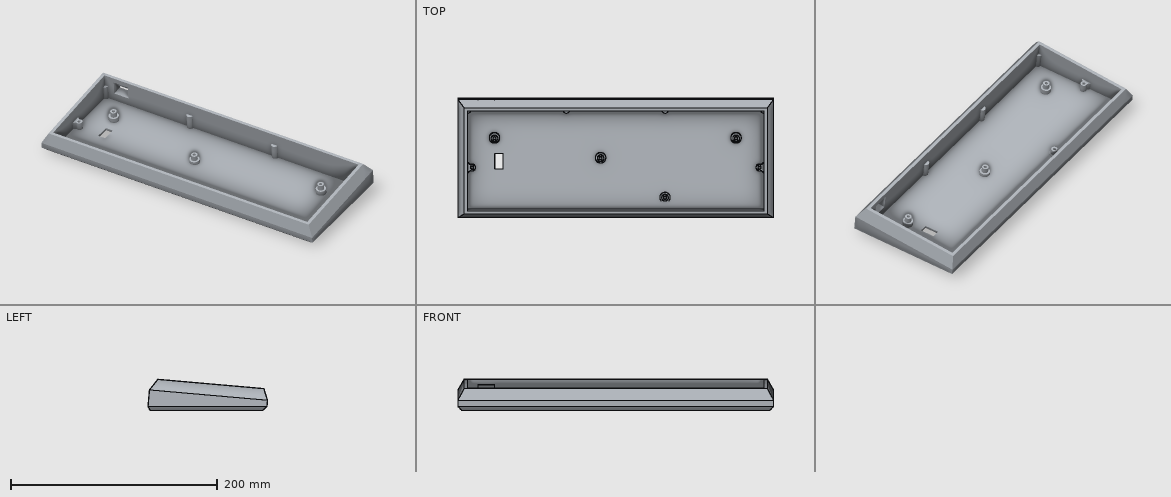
import cadquery as cq
import math

tilt = 5.0
overall_length = 306.5
overall_height = 30.3

rim_length = 294.0
rim_depth = 103.2
rim_center_y = -2.8
bevel_height = 11.0
bevel_front = 4.5
bevel_back = 7.5

chamfer_height = 4.0
chamfer_side = 3.7
chamfer_front = 4.3
chamfer_back = 2.0

wall_side = 3.5
wall_end = 3.0
floor_thickness = 2.5

standoff_positions = [(-117.5, 17.8), (-14.7, -1.5), (47.8, -39.8), (116.7, 17.8)]
collar_diameter = 10.0
pin_diameter = 6.5
pin_hole_diameter = 3.0
pin_hole_depth = 6.0
pin_top_drop = 14.5
collar_top_drop = 20.0

post_diameter = 6.5
post_top_drop = 12.5
post_spacing = 96.0

screw_post_x = 139.5
screw_post_y = -10.7
screw_post_diameter = 6.5
screw_post_top_drop = 14.5
web_width = 5.5
web_flare_width = 10.0
web_flare_length = 2.8

slot_x, slot_y = -113.5, -3.0
slot_width, slot_length = 7.7, 14.7
port_x = -125.5
port_width = 16.0
port_bottom_drop = 19.0
port_pocket_top_drop = 5.2
port_pocket_depth = 4.5
port_hole_top_drop = 11.3
port_overrun = 3.0

slope = math.radians(tilt)
half_rim = rim_depth / 2
rim_center_z = overall_height - half_rim * math.sin(slope)
body_front = -half_rim - bevel_front
body_back = half_rim + bevel_back
reach_down = 2 * overall_height
cavity_length = rim_length - 2 * wall_side
cavity_depth = rim_depth - 2 * wall_end
cavity_back = cavity_depth / 2


def place(shape):
    """Move a shape from the sloped frame into the part."""
    return shape.rotate((0, 0, 0), (1, 0, 0), tilt).translate((0, rim_center_y, rim_center_z))


def to_sloped(y):
    """Depth in the sloped frame of a point of the rim plane."""
    return (y - rim_center_y) / math.cos(slope)


def wall_y(depth, z):
    """Y of the wall at a given depth in the sloped frame, at height z."""
    return rim_center_y + depth / math.cos(slope) + (rim_center_z - z) * math.tan(slope)


def rectangle(length, front, back, z):
    """Rectangular outline centred in X, between two Y positions."""
    return cq.Workplane("XY", origin=(0, (front + back) / 2, z)).rect(length, back - front)


def above(z):
    """Large block that keeps everything above height z."""
    size = 2 * overall_length
    return cq.Workplane("XY", origin=(0, 0, z)).box(size, size, size, centered=(True, True, False))


def loft_between(lower, upper):
    """Straight-sided solid between two outlines."""
    wires = [lower.wire().val(), upper.wire().val()]
    return cq.Workplane(cq.Solid.makeLoft(wires, True))


def make_body():
    """Bevelled walls square to the rim, standing on a chamfered horizontal base."""
    bevel = loft_between(
        rectangle(overall_length, body_front, body_back, -bevel_height),
        rectangle(rim_length, -half_rim, half_rim, 0),
    )
    walls = rectangle(overall_length, body_front, body_back, -bevel_height).extrude(-reach_down)
    upper = place(walls.union(bevel)).intersect(above(chamfer_height))
    front = wall_y(body_front, chamfer_height)
    back = wall_y(body_back, chamfer_height)
    base = loft_between(
        rectangle(overall_length - 2 * chamfer_side, front + chamfer_front, back - chamfer_back, 0),
        rectangle(overall_length, front, back, chamfer_height),
    )
    return upper.union(base)


def make_cavity():
    """Space inside the walls, down to the horizontal floor."""
    cavity = rectangle(cavity_length, -cavity_back, cavity_back, 0).extrude(-reach_down)
    return place(cavity).intersect(above(floor_thickness))


def column(x, depth, diameter, top_drop, height=reach_down):
    """Cylinder square to the rim plane, with its top below the rim."""
    plane = cq.Workplane("XY", origin=(x, depth, -top_drop))
    return place(plane.circle(diameter / 2).extrude(-height))


def make_web(side):
    """Web from a screw post to the wall on one side, widening at the wall."""
    wall_x = cavity_length / 2
    flare_x = wall_x - web_flare_length
    half_web = web_width / 2
    half_flare = web_flare_width / 2
    half_outline = [(screw_post_x, half_web), (flare_x, half_web), (wall_x, half_flare)]
    outline = half_outline + [(x, -y) for x, y in reversed(half_outline)]
    depth = to_sloped(screw_post_y)
    points = [(side * x, depth + y) for x, y in outline]
    plane = cq.Workplane("XY", origin=(0, 0, -screw_post_top_drop))
    return place(plane.polyline(points).close().extrude(-reach_down))


def port_cut(top_drop, back):
    """Rectangular cut from inside the cavity back to a given depth in the sloped frame."""
    front = cavity_back - wall_end
    center = (port_x, (front + back) / 2, -port_bottom_drop)
    plane = cq.Workplane("XY", origin=center).rect(port_width, back - front)
    return place(plane.extrude(port_bottom_drop - top_drop))


body = make_body()
cavity = make_cavity()
result = body.cut(cavity)

for x, y in standoff_positions:
    depth = to_sloped(y)
    standoff = column(x, depth, collar_diameter, collar_top_drop)
    standoff = standoff.union(column(x, depth, pin_diameter, pin_top_drop))
    hole = column(x, depth, pin_hole_diameter, pin_top_drop, pin_hole_depth)
    result = result.union(standoff.intersect(cavity)).cut(hole)

for x in (-cavity_length / 2, -post_spacing / 2, post_spacing / 2, cavity_length / 2):
    post = column(x, cavity_back, post_diameter, post_top_drop)
    result = result.union(post.intersect(cavity))

for side in (-1, 1):
    x = side * screw_post_x
    depth = to_sloped(screw_post_y)
    post = column(x, depth, screw_post_diameter, screw_post_top_drop).union(make_web(side))
    hole = column(x, depth, pin_hole_diameter, screw_post_top_drop, pin_hole_depth)
    result = result.union(post.intersect(cavity)).cut(hole)

slot = cq.Workplane("XY", origin=(slot_x, slot_y, 0)).rect(slot_width, slot_length)
result = result.cut(slot.extrude(floor_thickness))

result = result.cut(port_cut(port_pocket_top_drop, cavity_back + port_pocket_depth))
result = result.cut(port_cut(port_hole_top_drop, body_back + port_overrun))